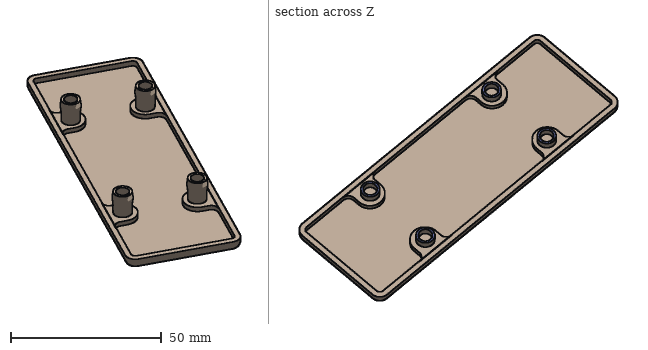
import cadquery as cq
import math

LENGTH = 113.0
WIDTH = 40.0
TRAY_HEIGHT = 4.0
WALL = 2.0
FLOOR = 2.0
CORNER_RADIUS = 3.5
ROUNDING_RADIUS = 2.5
ROUNDING = 2.0

PAD_SPACING_X = 57.0
PAD_RADIUS = 5.0
PAD_HEIGHT = 1.7
PAD_BLEND_RADIUS = 2.5

POST_SPACING_X = 56.6
POST_SPACING_Y = 26.0
POST_TOP = 12.0
POST_RADIUS = 6.4 / 2
RIDGE_RADIUS = 6.9 / 2
BORE_DIAMETER = 4.5
RIDGE_START = 7.0
RIDGE_FULL_START = 9.0
RIDGE_FULL_END = 10.0

PAD_TOP = FLOOR + PAD_HEIGHT
POST_Y = POST_SPACING_Y / 2
INNER_Y = WIDTH / 2 - WALL


def rounded_slab(outset, bottom, top):
    """Slab between two heights with the tray outline, grown outward by the given distance."""
    return (
        cq.Workplane("XY", origin=(0, 0, bottom))
        .rect(LENGTH + 2 * outset, WIDTH + 2 * outset)
        .extrude(top - bottom)
        .edges("|Z")
        .fillet(CORNER_RADIUS + outset)
    )


def make_tray():
    """Shallow rounded tray whose bottom edge is a flattened arc, as deep as it is high."""
    center_inset = ROUNDING / 2 + math.sqrt(ROUNDING_RADIUS**2 / 2 - ROUNDING**2 / 4)
    overhang = ROUNDING_RADIUS - center_inset
    oversize = rounded_slab(overhang, -overhang, TRAY_HEIGHT)
    oversize = oversize.faces("<Z").edges().fillet(ROUNDING_RADIUS)
    lower = oversize.intersect(rounded_slab(2 * overhang, 0, ROUNDING))
    body = lower.union(rounded_slab(0, ROUNDING, TRAY_HEIGHT))
    recess = (
        cq.Workplane("XY", origin=(0, 0, FLOOR))
        .rect(LENGTH - 2 * WALL, WIDTH - 2 * WALL)
        .extrude(TRAY_HEIGHT - FLOOR)
        .edges("|Z")
        .fillet(CORNER_RADIUS - WALL)
    )
    return body.cut(recess)


def make_pad(x, side):
    """Round-ended pad that flares into the long wall on the given Y side."""
    wall_y = side * INNER_Y
    blend_y = side * (INNER_Y - PAD_BLEND_RADIUS)
    flare = PAD_RADIUS + PAD_BLEND_RADIUS
    blend_mid = PAD_BLEND_RADIUS * 0.5**0.5
    mid_x = flare - blend_mid
    mid_y = blend_y + side * blend_mid
    center_y = side * POST_Y
    return (
        cq.Workplane("XY", origin=(x, 0, FLOOR))
        .moveTo(-flare, wall_y)
        .threePointArc((-mid_x, mid_y), (-PAD_RADIUS, blend_y))
        .lineTo(-PAD_RADIUS, center_y)
        .threePointArc((0, center_y - side * PAD_RADIUS), (PAD_RADIUS, center_y))
        .lineTo(PAD_RADIUS, blend_y)
        .threePointArc((mid_x, mid_y), (flare, wall_y))
        .close()
        .extrude(PAD_HEIGHT)
    )


def make_post(x, y):
    """Solid post of revolution with a tapered snap ridge near its top."""
    return (
        cq.Workplane("XZ")
        .moveTo(0, FLOOR)
        .lineTo(POST_RADIUS, FLOOR)
        .lineTo(POST_RADIUS, RIDGE_START)
        .lineTo(RIDGE_RADIUS, RIDGE_FULL_START)
        .lineTo(RIDGE_RADIUS, RIDGE_FULL_END)
        .lineTo(POST_RADIUS, POST_TOP)
        .lineTo(0, POST_TOP)
        .close()
        .revolve(360, (0, 0, 0), (0, 1, 0))
        .translate((x, y, 0))
    )


def make_bore(x, y):
    """Blind bore from the post top down to the pad top."""
    return (
        cq.Workplane("XY", origin=(x, y, PAD_TOP))
        .circle(BORE_DIAMETER / 2)
        .extrude(POST_TOP - PAD_TOP)
    )


result = make_tray()
for x_side in (-1, 1):
    post_x = x_side * POST_SPACING_X / 2
    pad_x = x_side * PAD_SPACING_X / 2
    for y_side in (-1, 1):
        post_y = y_side * POST_Y
        result = result.union(make_pad(pad_x, y_side))
        result = result.union(make_post(post_x, post_y))
        result = result.cut(make_bore(post_x, post_y))